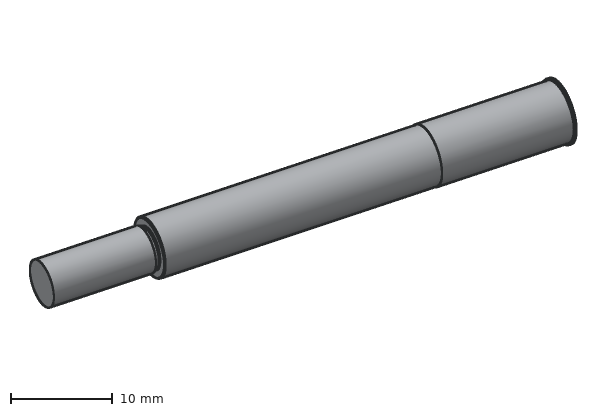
import cadquery as cq

total_length = 58.0
plunger_length = 12.0
plunger_diameter = 5.0

barrel_diameter = 6.45
head_diameter = 6.55
head_length = 14.95
flange_diameter = 6.9
flange_thickness = 0.25
barrel_chamfer = 0.1

neck_diameter = 4.65
collar_length = 0.2
cone_length = 0.4

tip_y = -total_length / 2
rear_y = total_length / 2
barrel_front_y = tip_y + plunger_length
head_front_y = rear_y - head_length
flange_front_y = rear_y - flange_thickness


def turned_body():
    """Revolve the stepped half profile about the Y axis."""
    plunger_radius = plunger_diameter / 2
    neck_radius = neck_diameter / 2
    barrel_radius = barrel_diameter / 2
    head_radius = head_diameter / 2
    flange_radius = flange_diameter / 2
    collar_front_y = barrel_front_y - collar_length
    profile = [
        (0, tip_y),
        (plunger_radius, tip_y),
        (plunger_radius, collar_front_y - cone_length),
        (neck_radius, collar_front_y),
        (neck_radius, barrel_front_y),
        (barrel_radius - barrel_chamfer, barrel_front_y),
        (barrel_radius, barrel_front_y + barrel_chamfer),
        (barrel_radius, head_front_y),
        (head_radius, head_front_y),
        (head_radius, flange_front_y),
        (flange_radius, flange_front_y),
        (flange_radius, rear_y),
        (0, rear_y),
    ]
    return cq.Workplane("XY").polyline(profile).close().revolve(360, (0, 0, 0), (0, 1, 0))


result = turned_body()